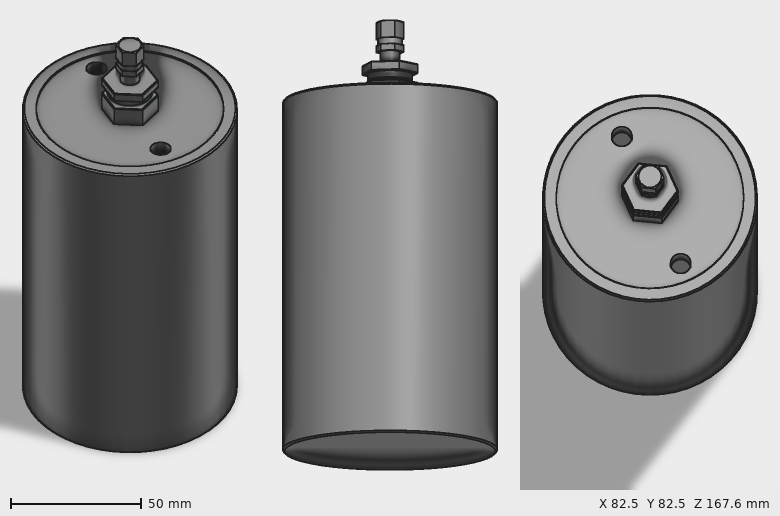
import cadquery as cq
import math

total_height = 167.6
housing_diameter = 82.5
housing_height = 136.6
rim_chamfer = 0.7
recess_diameter = 72.0
recess_depth = 0.7
spanner_hole_diameter = 7.9
spanner_hole_spacing = 55.5
spanner_hole_depth = 8.4
spanner_hole_shift_x = -0.8
spanner_hole_shift_y = -0.2

large_hex_flats = 19.0
large_hex_chamfer = 0.3
base_hex_top = 143.7
neck_diameter = 13.9
neck_top = 144.7
collar_diameter = 17.3
flange_bottom = 147.2
flange_top = 150.9

stem_diameter = 7.5
tip_hex_flats = 9.4
tip_bottom = 155.9
groove_bottom = 158.4
groove_top = 161.0
tip_top_diameter = 8.7
tip_chamfer_height = 0.3

recess_floor = housing_height - recess_depth


def cylinder(diameter, bottom, top):
    """Vertical cylinder about the Z axis."""
    return cq.Workplane("XY").workplane(offset=bottom).circle(diameter / 2).extrude(top - bottom)


def hexagon(flats, bottom, top):
    """Hexagonal prism about the Z axis, with corners on the X axis."""
    corners = flats / math.cos(math.pi / 6)
    return cq.Workplane("XY").workplane(offset=bottom).polygon(6, corners).extrude(top - bottom)


def make_housing():
    """Cylinder with chamfered rims, a shallow top recess and two slightly offset spanner holes."""
    body = cylinder(housing_diameter, 0, housing_height).edges().chamfer(rim_chamfer)
    body = body.cut(cylinder(recess_diameter, recess_floor, housing_height))
    holes = (
        cq.Workplane("XY")
        .workplane(offset=recess_floor)
        .center(spanner_hole_shift_x, spanner_hole_shift_y)
        .rarray(spanner_hole_spacing, 1.7, 2, 1)
        .circle(spanner_hole_diameter / 2)
        .extrude(-spanner_hole_depth)
    )
    return body.cut(holes)


def make_tip():
    """Top hexagon with a conical chamfer down to a round end face."""
    corner_diameter = tip_hex_flats / math.cos(math.pi / 6)
    chamfer_width = (corner_diameter - tip_top_diameter) / 2
    blank = cylinder(corner_diameter, groove_top, total_height)
    turned_blank = blank.faces(">Z").chamfer(tip_chamfer_height, chamfer_width)
    return hexagon(tip_hex_flats, groove_top, total_height).intersect(turned_blank)


def make_fitting():
    """Hexagonal base, collar, hexagonal flange, stem and grooved tip in one piece."""
    base_hex = hexagon(large_hex_flats, recess_floor, base_hex_top).faces(">Z").chamfer(large_hex_chamfer)
    flange = hexagon(large_hex_flats, flange_bottom, flange_top).faces("<Z or >Z").chamfer(large_hex_chamfer)
    return (
        base_hex
        .union(cylinder(neck_diameter, base_hex_top, neck_top))
        .union(cylinder(collar_diameter, neck_top, flange_bottom))
        .union(flange)
        .union(cylinder(stem_diameter, flange_top, tip_bottom))
        .union(hexagon(tip_hex_flats, tip_bottom, groove_bottom))
        .union(cylinder(tip_hex_flats, groove_bottom, groove_top))
        .union(make_tip())
    )


housing = make_housing()
fitting = make_fitting()

result = cq.Compound.makeCompound([housing.val(), fitting.val()])